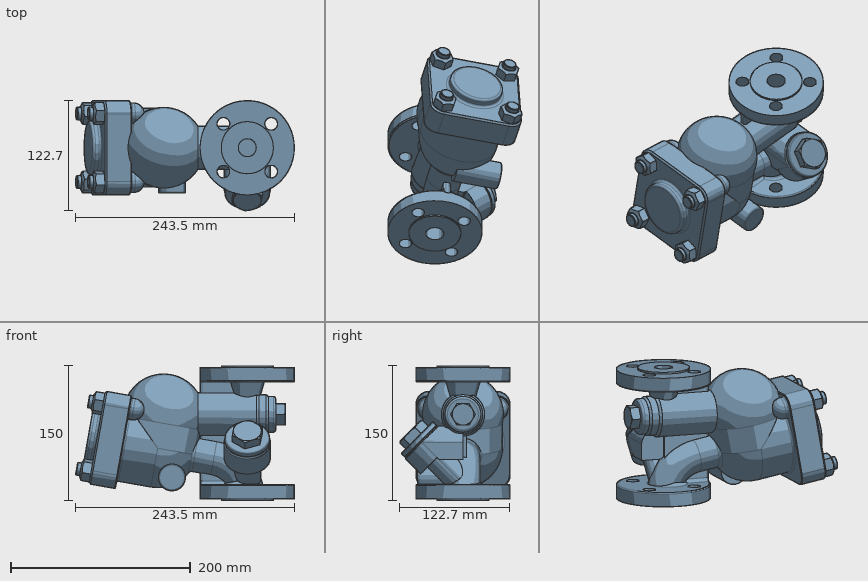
import cadquery as cq
import math

HALF_HEIGHT = 75.0
FLANGE_RADIUS = 52.47
FLANGE_THICKNESS = 16.0
FLANGE_EDGE = 1.5
FACE_RADIUS = 29.0
FACE_HEIGHT = 2.0
BORE_RADIUS = 10.0
BORE_DEPTH = 29.2
BOLT_HOLE_RADIUS = 6.95
BOLT_HOLE_OFFSET = 26.5
FLANGE_INNER_Z = HALF_HEIGHT - FACE_HEIGHT - FLANGE_THICKNESS

BARREL_Z = 21.0
BARREL_RADIUS = 24.0
BARREL_END_X = 10.0
NECK_RADIUS = 22.0
NECK_START_X = 13.0
NECK_END_X = 21.0
CAP_RADIUS = 20.0
CAP_START_X = 23.5
CAP_END_X = 31.7
CAP_EDGE = 2.7
BARREL_HEX_FLATS = 23.9
BARREL_HEX_END_X = 42.4

TILT = math.radians(10)
SIN_TILT = math.sin(TILT)
COS_TILT = math.cos(TILT)
DOME_X = -93.0
DOME_RADIUS = 45.0
CHAMBER_RADIUS = 43.95
CHAMBER_LENGTH = 38.2
LOWER_X = DOME_X - CHAMBER_LENGTH * SIN_TILT
LOWER_Z = BARREL_Z - CHAMBER_LENGTH * COS_TILT

COVER_FACE = 68.5
COVER_SIDE = 105.0
COVER_CORNER = 15.0
COVER_THICKNESS = 30.0
COVER_BACK = COVER_FACE - COVER_THICKNESS
COVER_FRONT_EDGE = 2.0
COVER_BACK_EDGE = 1.0
COVER_BOSS_RADIUS = 30.0
COVER_BOSS_HEIGHT = 10.0
COVER_BOSS_FILLET = 3.0
NECK_FILLET = 2.0
STUD_OFFSET = 38.0
STUD_RADIUS = 7.18
STUD_HEIGHT = 16.5
STUD_CHAMFER = 0.7
NUT_FLATS = 22.0
NUT_HEIGHT = 12.0
NUT_RIM_RADIUS = 8.0
NUT_TURN = 15
STUD_DOME_RADIUS = 12.0
STUD_DOME_CENTRE = 34.0
STUD_DOME_FILLET = 1.5

DRAIN_X = -83.8
DRAIN_Z = -49.2
DRAIN_RADIUS = 14.97
DRAIN_END_Y = -50.5
DRAIN_EDGE = 1.2

PIPE_RADIUS = 19.0
PIPE_FILLET = 4.0
ELBOW_ROOT_X = -4.9
ELBOW_RADIUS = 45.0
ELBOW_TURN = 80
ELBOW_START_X = -ELBOW_RADIUS * (1 - SIN_TILT)
ELBOW_START_Z = LOWER_Z + (ELBOW_START_X - LOWER_X) * math.tan(-TILT)

HUB_ROOT_RADIUS = 19.0
HUB_TIP_RADIUS = 14.1
HUB_HEIGHT = 17.0

WEB_THICKNESS = 8.0
WEB_LEFT_X = -52.5
WEB_EDGE = 2.5
WEB_ROOT_DEPTH = 2.5

STRAINER_ROOT_Z = -56.0
STRAINER_TUBE_RADIUS = 14.97
STRAINER_BODY_RADIUS = 25.8
STRAINER_BODY_START = 1.2
STRAINER_BODY_END = 25.8
STRAINER_GROOVE_RADIUS = 23.0
STRAINER_CAP_RADIUS = 24.95
STRAINER_CAP_START = 27.3
STRAINER_CAP_END = 32.6
STRAINER_HEX_END = 43.3
STRAINER_HEX_FLATS = 31.2
STRAINER_HEX_TURN = 21
STRAINER_EDGE = 1.0
STRAINER_BLOCK_BOTTOM_Z = -29.2

COVER_PLANE = cq.Plane((LOWER_X, 0, LOWER_Z), (0, -1, 0), (-COS_TILT, 0, SIN_TILT))
CHAMBER_PLANE = cq.Plane((LOWER_X, 0, LOWER_Z), (0, -1, 0), (SIN_TILT, 0, COS_TILT))
STRAINER_SHIFT = STRAINER_ROOT_Z / math.sqrt(2)
STRAINER_PLANE = cq.Plane((0, STRAINER_ROOT_Z / 2, STRAINER_ROOT_Z / 2), (1, 0, 0), (0, -1, 1))


def cylinder(plane, radius, start, end):
    """Solid cylinder along the plane normal between two distances."""
    return cq.Workplane(plane).workplane(offset=start).circle(radius).extrude(end - start)


def hex_head(plane, flats, start, end, turn, rim):
    """Hexagon along the plane normal with its corners turned off at 30 degrees from a round rim."""
    corners = flats / math.cos(math.pi / 6)
    head = (
        cq.Workplane(plane).workplane(offset=start)
        .transformed(rotate=(0, 0, turn))
        .polygon(6, corners).extrude(end - start)
    )
    slope = math.tan(math.pi / 6)
    turning = (
        cq.Workplane(cq.Plane(plane.origin, plane.xDir, -plane.yDir))
        .moveTo(0, start)
        .lineTo(corners, start)
        .lineTo(corners, end - (corners - rim) * slope)
        .lineTo(rim, end)
        .lineTo(0, end)
        .close()
        .revolve(360, (0, 0), (0, 1))
    )
    return head.intersect(turning)


def root_fillet(plane, radius, level, fillet):
    """Hollow-rounded ring where a round stem stands on a flat face.

    A negative fillet makes the ring grow against the plane normal.
    """
    size = abs(fillet)
    return (
        cq.Workplane(cq.Plane(plane.origin, plane.xDir, -plane.yDir))
        .moveTo(0, level)
        .lineTo(radius + size, level)
        .radiusArc((radius, level + fillet), fillet)
        .lineTo(0, level + fillet)
        .close()
        .revolve(360, (0, 0), (0, 1))
    )


def flange():
    """Upper pipe flange; the lower one is its mirror image."""
    disc = cylinder(cq.Plane.XY(), FLANGE_RADIUS, FLANGE_INNER_Z, HALF_HEIGHT - FACE_HEIGHT)
    disc = disc.faces("<Z").edges().fillet(FLANGE_EDGE)
    return disc.union(cylinder(cq.Plane.XY(), FACE_RADIUS, FLANGE_INNER_Z, HALF_HEIGHT))


def flange_holes():
    """Through bolt holes and the blind bore of the upper flange."""
    offsets = (-BOLT_HOLE_OFFSET, BOLT_HOLE_OFFSET)
    holes = (
        cq.Workplane("XY").workplane(offset=FLANGE_INNER_Z)
        .pushPoints([(x, y) for x in offsets for y in offsets])
        .circle(BOLT_HOLE_RADIUS).extrude(FLANGE_THICKNESS)
    )
    return holes.union(cylinder(cq.Plane.XY(), BORE_RADIUS, HALF_HEIGHT - BORE_DEPTH, HALF_HEIGHT))


def hub():
    """Tapered hub between the upper flange and the barrel."""
    return (
        cq.Workplane("XY").workplane(offset=FLANGE_INNER_Z).circle(HUB_ROOT_RADIUS)
        .workplane(offset=-HUB_HEIGHT).circle(HUB_TIP_RADIUS).loft()
    )


def barrel():
    """Stepped barrel from the chamber to its hexagon plug."""
    profile = (
        cq.Workplane("XZ")
        .moveTo(DOME_X, BARREL_Z)
        .lineTo(DOME_X, BARREL_Z + BARREL_RADIUS)
        .lineTo(BARREL_END_X, BARREL_Z + BARREL_RADIUS)
        .lineTo(NECK_START_X, BARREL_Z + NECK_RADIUS)
        .lineTo(NECK_END_X, BARREL_Z + NECK_RADIUS)
        .lineTo(CAP_START_X, BARREL_Z + CAP_RADIUS)
        .lineTo(CAP_END_X, BARREL_Z + CAP_RADIUS)
        .lineTo(CAP_END_X, BARREL_Z)
        .close()
    )
    turned = profile.revolve(360, (0, BARREL_Z), (1, BARREL_Z))
    turned = turned.faces(">X").edges().fillet(CAP_EDGE)
    plug_plane = cq.Plane((0, 0, BARREL_Z), (0, 1, 0), (1, 0, 0))
    rim = BARREL_HEX_FLATS / 2
    return turned.union(hex_head(plug_plane, BARREL_HEX_FLATS, CAP_END_X, BARREL_HEX_END_X, 0, rim))


def chamber():
    """Round-ended leaning chamber with its neck to the cover and the drain boss."""
    body = cylinder(CHAMBER_PLANE, CHAMBER_RADIUS, 0, CHAMBER_LENGTH)
    for distance, radius in ((0, CHAMBER_RADIUS), (CHAMBER_LENGTH, DOME_RADIUS)):
        body = body.union(cq.Workplane(CHAMBER_PLANE).workplane(offset=distance).sphere(radius))
    body = body.union(cylinder(COVER_PLANE, CHAMBER_RADIUS, 0, COVER_BACK))
    drain_plane = cq.Plane((DRAIN_X, 0, DRAIN_Z), (1, 0, 0), (0, -1, 0))
    drain = cylinder(drain_plane, DRAIN_RADIUS, 0, -DRAIN_END_Y).faces("<Y").edges().fillet(DRAIN_EDGE)
    return body.union(drain)


def cover():
    """Square cover with its round boss, studs, nuts and the domes behind the upper studs."""
    front = cq.selectors.DirectionMinMaxSelector(COVER_PLANE.zDir, True)
    back = cq.selectors.DirectionMinMaxSelector(COVER_PLANE.zDir, False)
    plate = (
        cq.Workplane(COVER_PLANE).workplane(offset=COVER_BACK)
        .sketch().rect(COVER_SIDE, COVER_SIDE).vertices().fillet(COVER_CORNER).finalize()
        .extrude(COVER_THICKNESS)
    )
    plate = plate.faces(front).edges().chamfer(COVER_FRONT_EDGE)
    plate = plate.faces(back).edges().chamfer(COVER_BACK_EDGE)

    boss = cylinder(COVER_PLANE, COVER_BOSS_RADIUS, COVER_FACE, COVER_FACE + COVER_BOSS_HEIGHT)
    boss = boss.faces(front).edges().fillet(COVER_BOSS_FILLET)
    boss_root = root_fillet(COVER_PLANE, COVER_BOSS_RADIUS, COVER_FACE, COVER_BOSS_FILLET)
    neck_root = root_fillet(COVER_PLANE, CHAMBER_RADIUS, COVER_BACK, -NECK_FILLET)
    assembly = plate.union(boss).union(boss_root).union(neck_root)

    for across in (-1, 1):
        for up in (-1, 1):
            spot = COVER_PLANE.toWorldCoords((across * STUD_OFFSET, up * STUD_OFFSET, 0))
            plane = cq.Plane(spot, COVER_PLANE.xDir, COVER_PLANE.zDir)
            stud = cylinder(plane, STUD_RADIUS, COVER_FACE, COVER_FACE + STUD_HEIGHT)
            stud = stud.faces(front).edges().chamfer(STUD_CHAMFER)
            turn = across * up * NUT_TURN
            nut = hex_head(plane, NUT_FLATS, COVER_FACE, COVER_FACE + NUT_HEIGHT, turn, NUT_RIM_RADIUS)
            assembly = assembly.union(stud).union(nut)
            if up > 0:
                dome = cq.Workplane(plane).workplane(offset=STUD_DOME_CENTRE).sphere(STUD_DOME_RADIUS)
                shank = cylinder(plane, STUD_DOME_RADIUS, STUD_DOME_CENTRE, COVER_BACK)
                dome_root = root_fillet(plane, STUD_DOME_RADIUS, COVER_BACK, -STUD_DOME_FILLET)
                assembly = assembly.union(dome).union(shank).union(dome_root)
    return assembly


def outlet_pipe():
    """Pipe along the cover axis and the elbow that turns it down."""
    reach = (ELBOW_START_X - LOWER_X) / COS_TILT
    pipe = cylinder(COVER_PLANE, PIPE_RADIUS, -reach, 0)
    elbow_plane = cq.Plane((ELBOW_START_X, 0, ELBOW_START_Z), (0, 1, 0), (COS_TILT, 0, -SIN_TILT))
    elbow = (
        cq.Workplane(elbow_plane).circle(PIPE_RADIUS)
        .revolve(ELBOW_TURN, (0, -ELBOW_RADIUS), (1, -ELBOW_RADIUS))
    )
    return pipe.union(elbow)


def pipe_root():
    """Ring rounding the pipe into the round lower end of the chamber."""
    tangent_radius = PIPE_RADIUS + PIPE_FILLET
    centre_distance = CHAMBER_RADIUS + PIPE_FILLET
    pipe_end = math.sqrt(centre_distance ** 2 - tangent_radius ** 2)
    share = CHAMBER_RADIUS / centre_distance
    return (
        cq.Workplane(cq.Plane(COVER_PLANE.origin, COVER_PLANE.xDir, COVER_PLANE.yDir))
        .lineTo(tangent_radius * share, pipe_end * share)
        .radiusArc((PIPE_RADIUS, pipe_end), PIPE_FILLET)
        .lineTo(0, pipe_end)
        .close()
        .revolve(360, (0, 0), (0, 1))
    )


def elbow_root():
    """Ring rounding the elbow into the lower flange."""
    plane = cq.Plane((ELBOW_ROOT_X, 0, 0), (1, 0, 0), (0, 0, 1))
    return root_fillet(plane, PIPE_RADIUS, -FLANGE_INNER_Z, PIPE_FILLET)


def web():
    """Flat web in the XZ plane between the two flanges, let into both."""
    height = FLANGE_INNER_Z + WEB_ROOT_DEPTH
    return (
        cq.Workplane("XY").workplane(offset=-height)
        .center(WEB_LEFT_X / 2, 0).rect(-WEB_LEFT_X, WEB_THICKNESS)
        .extrude(2 * height)
        .edges("|Z and <X").fillet(WEB_EDGE)
    )


def web_foot():
    """Hollow-rounded foot of the web on the lower flange."""
    level = -FLANGE_INNER_Z
    foot_reach = WEB_THICKNESS / 2 + PIPE_FILLET
    top = level + PIPE_FILLET
    return (
        cq.Workplane("YZ").workplane(offset=WEB_LEFT_X + WEB_EDGE / 2)
        .moveTo(-foot_reach, level - WEB_ROOT_DEPTH)
        .lineTo(-foot_reach, level)
        .radiusArc((-WEB_THICKNESS / 2, top), -PIPE_FILLET)
        .lineTo(WEB_THICKNESS / 2, top)
        .radiusArc((foot_reach, level), -PIPE_FILLET)
        .lineTo(foot_reach, level - WEB_ROOT_DEPTH)
        .close()
        .extrude(-WEB_LEFT_X - PIPE_RADIUS)
    )


def strainer():
    """Inclined strainer branch with its capped hexagon plug."""
    plane = STRAINER_PLANE
    top = cq.selectors.DirectionMinMaxSelector(plane.zDir, True)
    tube = cylinder(plane, STRAINER_TUBE_RADIUS, STRAINER_SHIFT, STRAINER_BODY_START)
    body = cylinder(plane, STRAINER_BODY_RADIUS, STRAINER_BODY_START, STRAINER_BODY_END)
    groove = cylinder(plane, STRAINER_GROOVE_RADIUS, STRAINER_BODY_END, STRAINER_CAP_START)
    cap = cylinder(plane, STRAINER_CAP_RADIUS, STRAINER_CAP_START, STRAINER_CAP_END)
    body = body.faces(top).edges().fillet(STRAINER_EDGE)
    cap = cap.faces(top).edges().fillet(STRAINER_EDGE)
    plug = hex_head(
        plane, STRAINER_HEX_FLATS, STRAINER_CAP_END, STRAINER_HEX_END,
        STRAINER_HEX_TURN, STRAINER_HEX_FLATS / 2,
    )
    return tube.union(body).union(groove).union(cap).union(plug)


def strainer_block():
    """Arched block running level from the strainer body back to the pipe."""
    rim = STRAINER_BODY_END - STRAINER_EDGE
    middle = STRAINER_PLANE.toWorldCoords((0, 0, rim))
    radius = STRAINER_BODY_RADIUS
    arch = (
        cq.Workplane("XZ").center(0, middle.z)
        .ellipse(radius, radius / math.sqrt(2)).extrude(FLANGE_RADIUS)
    )
    depth = middle.z - STRAINER_BLOCK_BOTTOM_Z
    walls = (
        cq.Workplane("XZ").center(0, middle.z - depth / 2)
        .rect(2 * radius, depth).extrude(FLANGE_RADIUS)
    )
    limit = (
        cq.Workplane(STRAINER_PLANE).workplane(offset=rim)
        .center(0, FLANGE_RADIUS).rect(2 * FLANGE_RADIUS, 2 * FLANGE_RADIUS)
        .extrude(-2 * FLANGE_RADIUS)
    )
    return arch.union(walls).intersect(limit)


result = chamber().union(cover()).union(barrel()).union(hub())
result = result.union(outlet_pipe()).union(pipe_root()).union(web()).union(web_foot())
result = result.union(strainer_block()).union(strainer())
result = result.union(flange()).union(flange().mirror("XY")).union(elbow_root())
result = result.cut(flange_holes()).cut(flange_holes().mirror("XY"))